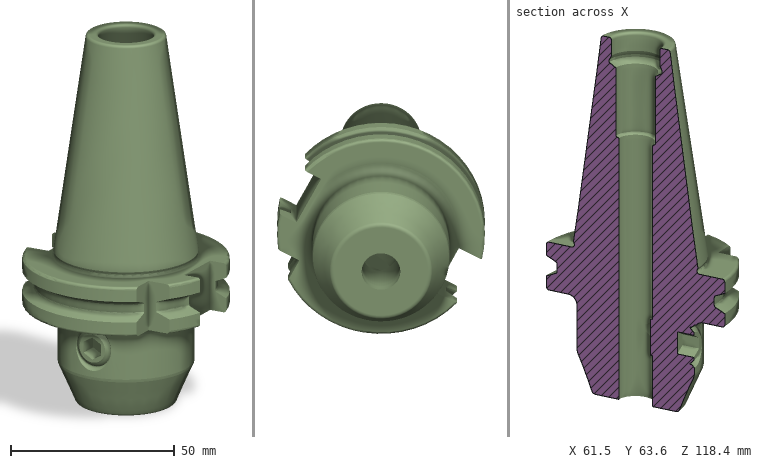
import cadquery as cq
import math

total_length = 118.4
nose_length = 31.0
flange_width = 15.9
flange_top = nose_length + flange_width

taper_large_radius = 44.5 / 2
taper_small_radius = 24.5 / 2
taper_end_fillet = 1.0
taper_bottom = 48.7
neck_radius = 21.9
neck_top = 48.0
neck_fillet = 0.8

flange_radius = 63.6 / 2
flange_edge_fillet = 1.0
groove_floor_radius = 28.1
groove_mouth_half_width = 3.3
groove_floor_half_width = 1.7
groove_corner_fillet = 0.6

slot_width = 16.1
left_slot_floor = 22.7
right_slot_floor = 25.1
notch_corner = 18.5

nose_radius = 42.0 / 2
nose_fillet = 3.0
cone_top = 13.1
cone_blend_radius = 2.4
cone_bottom_radius = 15.3
nose_end_fillet = 1.4

pilot_radius = 8.5
pilot_depth = 6.0
pilot_rim_fillet = 1.0
relief_radius = 9.4
relief_flare_length = 1.4
relief_wall_length = 0.8
thread_radius = 7.0
thread_depth = 32.0
bore_radius = 5.9
cone_rise = math.tan(math.radians(30))

screw_height = 22.7
screw_radius = 6.0
screw_tip_reach = 5.2
screw_head_reach = 20.8
screw_chamfer = 1.5
hex_across_flats = 6.2
hex_depth = 5.9
countersink_radius = 7.1


def revolve_about_z(profile):
    """Solid of revolution about the part axis from (radius, height) points."""
    return cq.Workplane("XZ").polyline(profile).close().revolve(360, (0, 0), (0, 1))


def make_taper():
    """Steep taper standing on the undercut neck."""
    profile = [
        (0, flange_top),
        (neck_radius, flange_top),
        (neck_radius, neck_top),
        (taper_large_radius, taper_bottom),
        (taper_small_radius, total_length),
        (0, total_length),
    ]
    taper = revolve_about_z(profile)
    return taper.faces(">Z").edges().fillet(taper_end_fillet)


def make_flange():
    """Round flange with a V groove around its rim."""
    flange = cq.Workplane("XY", origin=(0, 0, nose_length)).circle(flange_radius).extrude(flange_width)
    flange = flange.edges().fillet(flange_edge_fillet)

    groove_middle = nose_length + flange_width / 2
    groove_profile = [
        (flange_radius, groove_middle - groove_mouth_half_width),
        (groove_floor_radius, groove_middle - groove_floor_half_width),
        (groove_floor_radius, groove_middle + groove_floor_half_width),
        (flange_radius, groove_middle + groove_mouth_half_width),
        (flange_radius, groove_middle - groove_mouth_half_width),
    ]
    groove_sketch = cq.Sketch().polygon(groove_profile).vertices("<X").fillet(groove_corner_fillet)
    groove = cq.Workplane("XZ").placeSketch(groove_sketch).revolve(360, (0, 0), (0, 1))
    return flange.cut(groove)


def make_nose():
    """Cylindrical nose that narrows in a cone towards its lower end."""
    profile = [
        (0, 0),
        (cone_bottom_radius, 0),
        (nose_radius, cone_top),
        (nose_radius, nose_length),
        (0, nose_length),
    ]
    nose = revolve_about_z(profile)
    nose = nose.faces("<Z").edges().fillet(nose_end_fillet)
    cone_edge = cq.selectors.NearestToPointSelector((0, 0, cone_top))
    return nose.edges(cone_edge).fillet(cone_blend_radius)


def make_root_fillet(radius, height, size, direction):
    """Ring that blends a cylinder into a flange face; direction is +1 above the face, -1 below."""
    far = height + direction * size
    middle_offset = size * (1 - math.sqrt(0.5))
    outline = (
        cq.Workplane("XZ")
        .moveTo(radius + size, height)
        .threePointArc((radius + middle_offset, height + direction * middle_offset), (radius, far))
        .lineTo(radius - size, far)
        .lineTo(radius - size, height)
        .close()
    )
    return outline.revolve(360, (0, 0), (0, 1))


def make_screw_hole():
    """Hole into the bore with a 45 degree countersink, opened outwards through the root fillet."""
    outer_reach = nose_radius + nose_fillet
    countersink_reach = nose_radius - (countersink_radius - screw_radius)
    profile = [
        (0, 0),
        (0, screw_radius),
        (-countersink_reach, screw_radius),
        (-nose_radius, countersink_radius),
        (-outer_reach, countersink_radius),
        (-outer_reach, 0),
    ]
    side_plane = cq.Workplane("YZ", origin=(0, 0, screw_height))
    return side_plane.polyline(profile).close().revolve(360, (0, 0), (1, 0))


def make_screw():
    """Set screw with a chamfered head and a hexagon socket."""
    tip_plane = cq.Workplane("XZ", origin=(0, -screw_tip_reach, screw_height))
    screw = tip_plane.circle(screw_radius).extrude(screw_head_reach - screw_tip_reach)
    screw = screw.faces("<Y").chamfer(screw_chamfer)
    hex_across_corners = hex_across_flats * 2 / math.sqrt(3)
    socket = cq.Workplane("XZ", origin=(0, -screw_head_reach, screw_height))
    socket = socket.transformed(rotate=(0, 0, 30)).polygon(6, hex_across_corners).extrude(-hex_depth)
    return screw.cut(socket)


def make_bore():
    """Pilot, flared relief, threaded length and clamping bore, joined by shallow cones."""
    pilot_bottom = total_length - pilot_depth
    relief_top = pilot_bottom - relief_flare_length
    relief_bottom = relief_top - relief_wall_length
    thread_top = relief_bottom - cone_rise * (relief_radius - thread_radius)
    thread_bottom = total_length - thread_depth
    bore_top = thread_bottom - cone_rise * (thread_radius - bore_radius)
    profile = [
        (0, 0),
        (bore_radius, 0),
        (bore_radius, bore_top),
        (thread_radius, thread_bottom),
        (thread_radius, thread_top),
        (relief_radius, relief_bottom),
        (relief_radius, relief_top),
        (pilot_radius, pilot_bottom),
        (pilot_radius, total_length),
        (0, total_length),
    ]
    return revolve_about_z(profile)


def make_flange_cuts():
    """Two drive slots of unequal depth, cut through the root fillet, and the square corner notch."""
    reach = flange_radius
    bottom = nose_length - nose_fillet
    height = flange_top - bottom
    slot = cq.Workplane("XY").box(reach, slot_width, height, centered=(False, True, False))
    right_slot = slot.translate((right_slot_floor, 0, bottom))
    left_slot = slot.translate((-left_slot_floor - reach, 0, bottom))
    notch = cq.Workplane("XY").box(reach, reach, height, centered=False)
    notch = notch.translate((notch_corner, -notch_corner - reach, bottom))
    return left_slot.union(right_slot).union(notch)


nose = make_nose().union(make_root_fillet(nose_radius, nose_length, nose_fillet, -1))
nose = nose.cut(make_screw_hole())
body = nose.union(make_flange()).cut(make_flange_cuts())
taper = make_taper().union(make_root_fillet(neck_radius, flange_top, neck_fillet, 1))

body = body.union(taper).cut(make_bore())
bore_rim = cq.selectors.RadiusNthSelector(0)
body = body.faces(">Z").edges(bore_rim).fillet(pilot_rim_fillet)

result = body.union(make_screw())